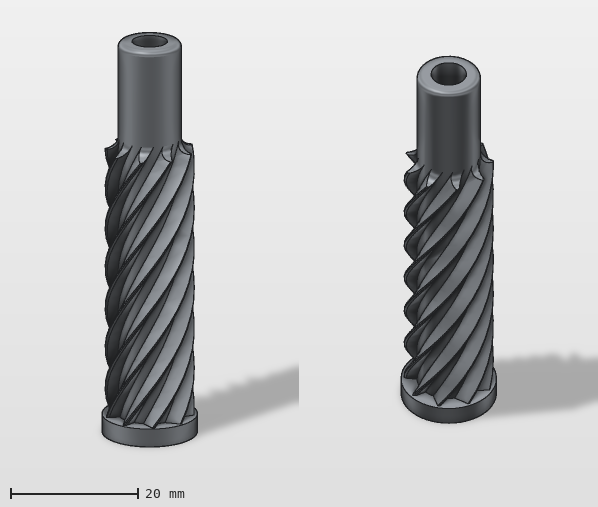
import cadquery as cq
import math

total_height = 65.0
flange_radius = 7.51
flange_height = 3.0
core_radius = 5.0
rim_round = 1.0
bore_radius = 2.76

tooth_count = 9
tooth_radius = 7.0
tooth_land = 0.25
bevel_depth = 0.3
bevel_angle = 2.0
helix_pitch = 60.0
shoulder_z = 49.0
runout_radius = 1.95
first_tip_angle = 25.0
steep_side_angle = 5.0
sloped_side_angle = -17.0
root_extension = 0.3
cutter_margin = 0.65

bore_depth = total_height - shoulder_z


def polar(radius, degrees):
    angle = math.radians(degrees)
    return (radius * math.cos(angle), radius * math.sin(angle))


def beyond_foot(tip, foot):
    """Carry the flank from tip to foot straight on into the core."""
    return (
        foot[0] + root_extension * (foot[0] - tip[0]),
        foot[1] + root_extension * (foot[1] - tip[1]),
    )


def make_core():
    flange = cq.Workplane("XY").circle(flange_radius).extrude(flange_height)
    shank = cq.Workplane("XY").circle(core_radius).extrude(total_height)
    shank = shank.faces(">Z").edges().fillet(rim_round)
    return flange.union(shank)


def make_tooth(tip_angle):
    """One twisted tooth, steep on its counter-clockwise side."""
    land_angle = math.degrees(tooth_land / tooth_radius)
    sloped_tip = polar(tooth_radius, tip_angle - land_angle)
    sloped_foot = polar(core_radius, tip_angle + sloped_side_angle)
    steep_tip = polar(tooth_radius, tip_angle)
    bevel_edge = polar(tooth_radius - bevel_depth, tip_angle + bevel_angle)
    steep_foot = polar(core_radius, tip_angle + steep_side_angle)
    section = [
        beyond_foot(sloped_tip, sloped_foot),
        sloped_tip,
        steep_tip,
        bevel_edge,
        beyond_foot(bevel_edge, steep_foot),
    ]
    length = shoulder_z - flange_height
    twist = 360 * length / helix_pitch
    return (
        cq.Workplane("XY", origin=(0, 0, flange_height))
        .polyline(section)
        .close()
        .twistExtrude(length, twist)
    )


def make_runout_cutter():
    """Ring that ends the teeth in a concave quarter round meeting the neck."""
    bend = runout_radius * math.sqrt(0.5)
    arc_end_radius = core_radius + runout_radius
    middle = (arc_end_radius - bend, shoulder_z - bend)
    return (
        cq.Workplane("XZ")
        .moveTo(core_radius, shoulder_z)
        .threePointArc(middle, (arc_end_radius, shoulder_z - runout_radius))
        .lineTo(flange_radius, shoulder_z - runout_radius)
        .lineTo(flange_radius, shoulder_z + cutter_margin)
        .lineTo(core_radius, shoulder_z + cutter_margin)
        .close()
        .revolve(360, (0, 0, 0), (0, 1, 0))
    )


first_tooth = make_tooth(first_tip_angle).cut(make_runout_cutter())
result = make_core()
for i in range(tooth_count):
    turn = 360 / tooth_count * i
    result = result.union(first_tooth.rotate((0, 0, 0), (0, 0, 1), turn))

result = result.faces(">Z").workplane().circle(bore_radius).cutBlind(-bore_depth)